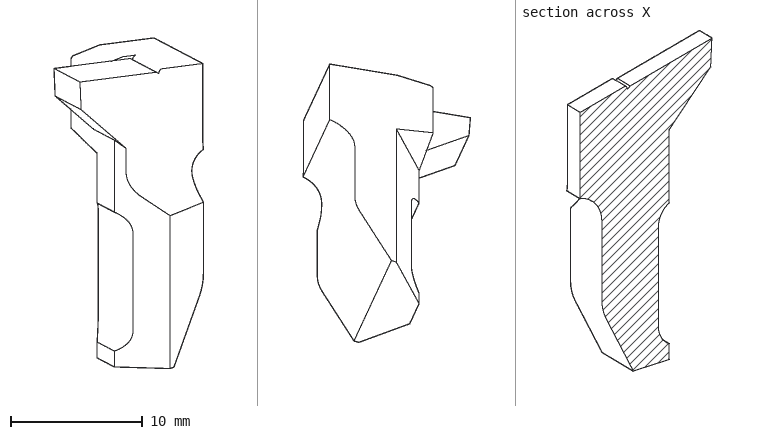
import cadquery as cq
import math


body_width = 8.0
total_height = 26.0
body_depth = 8.4
nose_reach = 4.03

head_width = 5.63
nose_width = 3.0
nose_left = head_width - nose_width
rake = math.tan(math.radians(13.2))
top_flat_height = 24.6
top_flat_depth = 2.92
front_edge_radius = 0.3

nose_root_height = 19.4
nose_underside = math.tan(math.radians(47))
tip_relief = math.tan(math.radians(2.8))

step_back = 4.23
step_radius = 0.3
step_ramp_end = 3.7

shoulder_corner_height = 13.08
shoulder_radius = 3.0

shank_depth = 6.37
rear_hook_radius = 2.5
rear_hook_end_height = 13.55
foot_depth = 3.39
rear_taper_height = 6.0
rear_taper_radius = 4.0

chamfer = 3.0
left_chamfer_height = 17.5
chamfer_roof_rise = 1.0

relief_bottom = 1.1
relief_top = 13.5
relief_depth = 1.0
relief_radius = 2.0


def side_plane(x):
    """Sketch plane facing +X, with local axes Y and Z."""
    return cq.Workplane("YZ", origin=(x, 0, 0))


def make_side_block():
    """Side outline of the body, swept across the whole width."""
    rear_top = top_flat_height - rake * (body_depth - top_flat_depth)
    hook_center = (shank_depth + rear_hook_radius, rear_hook_end_height)
    hook_end_angle = math.acos((hook_center[0] - body_depth) / rear_hook_radius)
    hook_mid_angle = hook_end_angle / 2
    hook_mid = (
        hook_center[0] - rear_hook_radius * math.cos(hook_mid_angle),
        hook_center[1] + rear_hook_radius * math.sin(hook_mid_angle),
    )
    hook_start = (body_depth, hook_center[1] + rear_hook_radius * math.sin(hook_end_angle))
    block = (
        side_plane(0)
        .moveTo(0, 0)
        .lineTo(0, top_flat_height)
        .lineTo(top_flat_depth, top_flat_height)
        .lineTo(body_depth, rear_top)
        .lineTo(*hook_start)
        .threePointArc(hook_mid, (shank_depth, rear_hook_end_height))
        .lineTo(shank_depth, rear_taper_height)
        .lineTo(foot_depth, 0)
        .close()
        .extrude(body_width)
    )
    taper_edge = cq.selectors.NearestToPointSelector((body_width / 2, shank_depth, rear_taper_height))
    front_top_edge = cq.selectors.NearestToPointSelector((body_width / 2, 0, top_flat_height))
    return block.edges(taper_edge).fillet(rear_taper_radius).edges(front_top_edge).fillet(front_edge_radius)


def make_front_outline():
    """Front outline with the narrow head blending into the wide shank, swept through the depth."""
    shoulder_height = shoulder_corner_height + body_width - head_width
    outline = (
        cq.Workplane("XZ")
        .moveTo(0, 0)
        .lineTo(body_width, 0)
        .lineTo(body_width, shoulder_corner_height)
        .lineTo(head_width, shoulder_height)
        .lineTo(head_width, total_height)
        .lineTo(0, total_height)
        .close()
        .extrude(-body_depth)
    )
    inner_edge = cq.selectors.NearestToPointSelector((head_width, body_depth / 2, shoulder_height))
    return outline.edges(inner_edge).fillet(shoulder_radius)


def make_right_chamfer():
    """Prism that removes the right front corner over the full height."""
    corner = [(body_width - chamfer, 0), (body_width, 0), (body_width, chamfer)]
    return cq.Workplane("XY").polyline(corner).close().extrude(total_height)


def make_left_chamfer():
    """Prism that removes the left front corner, ending in a roof that rises towards the corner."""
    prism = (
        cq.Workplane("XY")
        .polyline([(0, 0), (chamfer, 0), (0, chamfer)])
        .close()
        .extrude(left_chamfer_height + chamfer_roof_rise)
    )
    diagonal = chamfer / math.sqrt(2)
    roof_plane = cq.Plane(
        origin=(chamfer / 2, chamfer / 2, left_chamfer_height),
        xDir=(-1, -1, 0),
        normal=(-1, 1, 0),
    )
    above_roof = (
        cq.Workplane(roof_plane)
        .polyline([(0, 0), (diagonal, chamfer_roof_rise), (0, chamfer_roof_rise)])
        .close()
        .extrude(chamfer, both=True)
    )
    return prism.cut(above_roof)


def make_relief():
    """Shallow recess with round ends across the front of the shank."""
    return (
        side_plane(0)
        .center(relief_depth - relief_radius, (relief_top + relief_bottom) / 2)
        .slot2D(relief_top - relief_bottom, 2 * relief_radius, angle=90)
        .extrude(body_width)
    )


def nose_top_height(y):
    """Height of the sloping nose top at depth y."""
    return total_height - rake * (y + nose_reach)


def make_nose_gap():
    """Space above the nose top and its rear step, cut out of the head."""
    step_top = top_flat_height - rake * (step_back - top_flat_depth)
    valley = (step_back - step_radius, step_top - step_radius)
    arc_mid = (
        step_back - step_radius * math.sin(math.pi / 4),
        step_top - step_radius * (1 - math.cos(math.pi / 4)),
    )
    return (
        side_plane(nose_left)
        .moveTo(step_back, total_height)
        .lineTo(step_back, step_top)
        .threePointArc(arc_mid, valley)
        .lineTo(step_ramp_end, nose_top_height(step_ramp_end))
        .lineTo(0, nose_top_height(0))
        .lineTo(0, total_height)
        .close()
        .extrude(nose_width)
    )


def make_nose():
    """Wedge nose that reaches forward of the front face, rooted inside the head."""
    underside_at_tip = nose_root_height + nose_underside * nose_reach
    tip_setback = (total_height - underside_at_tip) * tip_relief / (1 - nose_underside * tip_relief)
    tip_face_bottom_reach = nose_reach - tip_setback
    tip_face_bottom = nose_root_height + nose_underside * tip_face_bottom_reach
    return (
        side_plane(nose_left)
        .moveTo(-nose_reach, total_height)
        .lineTo(-tip_face_bottom_reach, tip_face_bottom)
        .lineTo(chamfer, nose_root_height - nose_underside * chamfer)
        .lineTo(chamfer, nose_top_height(chamfer))
        .close()
        .extrude(nose_width)
    )


body = make_side_block().intersect(make_front_outline())
body = body.cut(make_right_chamfer()).cut(make_left_chamfer()).cut(make_relief())
result = body.cut(make_nose_gap()).union(make_nose())